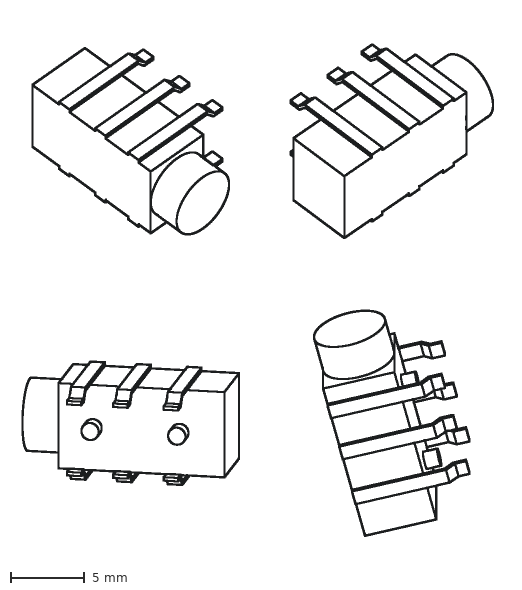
import cadquery as cq

total_length = 14.0
total_height = 6.5
body_length = 11.5
body_depth = 5.0
body_height = 6.0

nose_diameter = 5.0
nose_length = total_length - body_length

terminal_centers = (3.1, 6.6, 9.8)
terminal_width = 1.0
terminal_thickness = (total_height - body_height) / 2
terminal_reach = 8.0
outer_bend_start = 6.6
inner_bend_start = 6.52
outer_bend_end = 7.22
inner_bend_end = 7.1
bend_drop = 0.63

pin_centers = (3.1, 9.1)
pin_diameter = 1.2
pin_length = 1.0


def make_body():
    return cq.Workplane("XY").box(
        body_length, body_depth, body_height, centered=(False, False, True)
    )


def make_nose():
    return (
        cq.Workplane("YZ", origin=(body_length, body_depth / 2, 0))
        .circle(nose_diameter / 2)
        .extrude(nose_length)
    )


def make_upper_terminal(center_x):
    """Flat strip on the housing top, stepped inward beyond the back face."""
    inner_z = body_height / 2
    outer_z = inner_z + terminal_thickness
    profile = [
        (0, inner_z),
        (inner_bend_start, inner_z),
        (inner_bend_end, inner_z - bend_drop),
        (terminal_reach, inner_z - bend_drop),
        (terminal_reach, outer_z - bend_drop),
        (outer_bend_end, outer_z - bend_drop),
        (outer_bend_start, outer_z),
        (0, outer_z),
    ]
    return (
        cq.Workplane("YZ", origin=(center_x - terminal_width / 2, 0, 0))
        .polyline(profile)
        .close()
        .extrude(terminal_width)
    )


def make_pin(center_x):
    return (
        cq.Workplane("XZ", origin=(center_x, body_depth, 0))
        .circle(pin_diameter / 2)
        .extrude(-pin_length)
    )


result = make_body().union(make_nose())

for center in terminal_centers:
    upper_terminal = make_upper_terminal(center)
    result = result.union(upper_terminal).union(upper_terminal.mirror("XY"))

for center in pin_centers:
    result = result.union(make_pin(center))